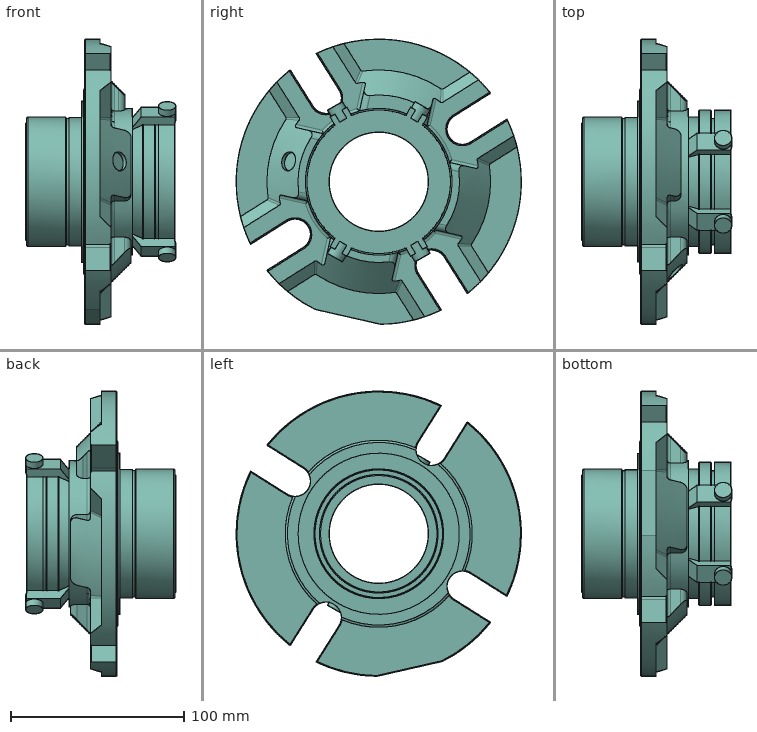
import cadquery as cq
front_shoulder_x = 0.5
front_chamfer_end_x = 1.3
nose_end_x = 23.5
neck_x = 25.0
boss_x = 32.3
step_x = 33.5
flange_front_x = 34.0
flange_back_x = 43.0
pad_x = 49.4
lobe_x = 61.0
short_lobe_x = 57.5
hub_end_x = 61.6
collar_x = 67.5
collar_groove_start_x = 75.0
collar_groove_end_x = 76.6
collar_end_x = 86.1

bore_dia = 57.2
lip_dia = 68.5
sleeve_dia = 75.0
groove_dia = 73.1
front_sleeve_dia = 74.3
boss_dia = 93.0
step_dia = 108.0
flange_dia = 164.7
hub_dia = 84.7
collar_dia = 82.8
sleeve_chamfer = 0.7
step_chamfer = 1.3
collar_chamfer = 0.5
edge_chamfer = 0.5

quarter_turns = (0, 90, 180, 270)
slot_angle = 32.2
lobe_angle = slot_angle + 45
flat_angle = lobe_angle + 90
short_lobe_angle = lobe_angle + 270
clip_angles = (30, 150, 210, 330)

slot_width = 17.6
slot_bottom_radius = 48.3
slot_flare = 0.8
flat_distance = 80.0
pad_height = pad_x - flange_back_x
pad_half_base = 25.5
pad_half_top = pad_half_base - pad_height
pad_foot_fillet = 1.6

cone_base_radius = 64.5
lobe_half_width = 20.0
lobe_foot_fillet = 1.8
lobe_edge_fillet = 4.0
port_dia = 11.0
port_x = 54.2
port_depth = 2.5

clip_width = 11.2
clip_top_radius = 46.5
clip_foot_top_radius = 39.4
clip_seat_radius = 41.0
clip_foot_radius = 38.0
clip_bend_x = 66.7
pin_dia = 10.0
pin_x = 81.7
pin_top_radius = 50.5

tolerance = 0.08


def turned(points):
    """Solid of revolution about X from (x, radius) points."""
    return cq.Workplane("XY").polyline(points).close().revolve(360, (0, 0, 0), (1, 0, 0))


def placed(shape, angle):
    """Turn a feature modelled along +Z to its angle about X."""
    return shape.rotate((0, 0, 0), (1, 0, 0), angle)


def cylinder(x_start, x_end, diameter):
    return cq.Workplane("YZ").workplane(offset=x_start).circle(diameter / 2).extrude(x_end - x_start)


def cone_radius(x):
    return cone_base_radius - (x - flange_back_x)


def slot_outline(x):
    """Open radial slot with a round bottom, sketched across the axis at x."""
    half_width = slot_width / 2
    centre = slot_bottom_radius + half_width
    return (
        cq.Workplane("YZ")
        .workplane(offset=x)
        .moveTo(-half_width, flange_dia)
        .lineTo(-half_width, centre)
        .threePointArc((0, slot_bottom_radius), (half_width, centre))
        .lineTo(half_width, flange_dia)
        .close()
    )


def slot_cutter():
    """Slot through the flange, flared at 45 degrees where it meets the pads."""
    through = slot_outline(boss_x).extrude(hub_end_x - boss_x)
    flare = slot_outline(pad_x - slot_flare).extrude(2 * slot_flare, taper=-45)
    return through.union(flare)


def flat_cutter():
    sketch = cq.Workplane("XY").workplane(offset=flat_distance).rect(2 * flange_dia, flange_dia)
    return placed(sketch.extrude(flange_dia), flat_angle)


def pad():
    """Raised land either side of a slot, with 45 degree side walls."""
    return (
        cq.Workplane("XY")
        .polyline([
            (flange_back_x, -pad_half_base),
            (flange_back_x, pad_half_base),
            (pad_x, pad_half_top),
            (pad_x, -pad_half_top),
        ])
        .close()
        .extrude(flange_dia)
    )


def near_hub(edge, limit):
    return edge.Center().Length < limit


def on_pad_corner(edge):
    """True for the corners between pad walls and cone, from the flange back to the pad plane."""
    box = edge.BoundingBox()
    spans_pad = box.xmax < pad_x + tolerance and box.xlen > pad_height / 2
    return spans_pad and near_hub(edge, 0.55 * flange_dia)


def recess_cutter():
    """Ring behind the flange, outside the cone, that leaves the four pads standing."""
    ring = turned([
        (flange_back_x, cone_base_radius),
        (flange_back_x, flange_dia),
        (hub_end_x, flange_dia),
        (hub_end_x, cone_radius(hub_end_x)),
    ])
    for turn in quarter_turns:
        ring = ring.cut(placed(pad(), slot_angle + turn))
    return ring.edges().filter(on_pad_corner).fillet(pad_foot_fillet)


def lobe_walls(end_x):
    """Block between the parallel side walls of a lobe, rounded towards its end face."""
    length = end_x - flange_back_x
    block = cq.Workplane("XY").box(length, 2 * lobe_half_width, flange_dia, centered=(False, True, False))
    return block.translate((flange_back_x, 0, 0)).faces(">X").edges("|Z").fillet(lobe_edge_fillet)


def lobe_gap_cutter():
    """Space around the hub behind the pads, less the four lobes, with rounded feet."""
    gap = turned([
        (pad_x, hub_dia / 2),
        (pad_x, flange_dia),
        (hub_end_x, flange_dia),
        (hub_end_x, hub_dia / 2),
    ])
    for turn in quarter_turns:
        angle = lobe_angle + turn
        end_x = short_lobe_x if angle == short_lobe_angle else lobe_x
        gap = gap.cut(placed(lobe_walls(end_x), angle))
    foot = gap.faces("<X").edges().filter(lambda edge: near_hub(edge, 0.8 * flange_dia))
    return foot.fillet(lobe_foot_fillet)


def on_front_outline(edge):
    """True for front flange edges: rim, flat and slots, but not the raised step around the sleeve."""
    box = edge.BoundingBox()
    in_front_plane = box.xlen < tolerance and abs(box.xmin - flange_front_x) < tolerance
    on_step = edge.geomType() == "CIRCLE" and abs(edge.radius() - step_dia / 2) < tolerance
    return in_front_plane and not on_step


def port_cutter():
    """Blind hole square to the cone surface."""
    mouth = cq.Vector(port_x, 0, cone_radius(port_x))
    inward = cq.Vector(-1, 0, -1).normalized()
    start = mouth - inward * port_depth
    return cq.Workplane(cq.Solid.makeCylinder(port_dia / 2, 2 * port_depth, start, inward))


def clip():
    """Setting clip: an arm over the collar, a sloped foot to the hub and a round pin head."""
    arm = (
        cq.Workplane("XZ")
        .polyline([
            (hub_end_x, clip_foot_radius),
            (hub_end_x, clip_foot_top_radius),
            (clip_bend_x, clip_top_radius),
            (collar_end_x, clip_top_radius),
            (collar_end_x, clip_seat_radius),
            (collar_x, clip_seat_radius),
        ])
        .close()
        .extrude(clip_width / 2, both=True)
    )
    pin = (
        cq.Workplane("XY")
        .workplane(offset=clip_seat_radius)
        .center(pin_x, 0)
        .circle(pin_dia / 2)
        .extrude(pin_top_radius - clip_seat_radius)
    )
    return arm.union(pin)


result = turned([
    (0, 0),
    (0, lip_dia / 2 - sleeve_chamfer),
    (front_shoulder_x, lip_dia / 2),
    (front_shoulder_x, sleeve_dia / 2 - sleeve_chamfer),
    (front_chamfer_end_x, sleeve_dia / 2),
    (nose_end_x - sleeve_chamfer, sleeve_dia / 2),
    (nose_end_x, groove_dia / 2),
    (neck_x, groove_dia / 2),
    (neck_x, front_sleeve_dia / 2),
    (boss_x, front_sleeve_dia / 2),
    (boss_x, boss_dia / 2),
    (step_x, boss_dia / 2),
    (step_x, step_dia / 2 - step_chamfer),
    (flange_front_x, step_dia / 2),
    (flange_front_x, flange_dia / 2),
    (hub_end_x, flange_dia / 2),
    (hub_end_x, sleeve_dia / 2),
    (collar_x, sleeve_dia / 2),
    (collar_x, collar_dia / 2 - collar_chamfer),
    (collar_x + collar_chamfer, collar_dia / 2),
    (collar_groove_start_x - collar_chamfer, collar_dia / 2),
    (collar_groove_start_x, collar_dia / 2 - collar_chamfer),
    (collar_groove_start_x, groove_dia / 2),
    (collar_groove_end_x, groove_dia / 2),
    (collar_groove_end_x, collar_dia / 2),
    (collar_end_x, collar_dia / 2),
    (collar_end_x, 0),
])

result = result.cut(recess_cutter())
result = result.cut(lobe_gap_cutter())
result = result.clean()

for turn in quarter_turns:
    result = result.cut(placed(slot_cutter(), slot_angle + turn))
result = result.cut(flat_cutter())
result = result.edges().filter(on_front_outline).chamfer(edge_chamfer)

result = result.cut(placed(port_cutter(), lobe_angle))
for angle in clip_angles:
    result = result.union(placed(clip(), angle))
result = result.cut(cylinder(-1.6, collar_end_x + 1.6, bore_dia))